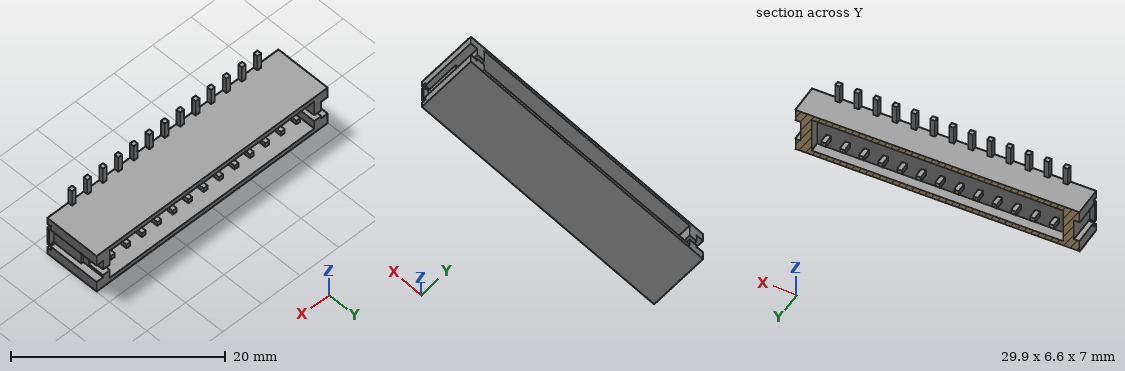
import cadquery as cq

housing_length = 29.95
housing_depth = 6.6
housing_height = 5.0
overall_height = 7.0

cavity_depth = 4.35
cavity_long_wall = 0.6
cavity_end_wall = 1.75

channel_depth = 0.85
channel_bottom = 1.35
channel_top = housing_height - channel_bottom
tab_thickness = 0.27
tab_length = 3.95
foot_clearance_reach = 1.38
foot_clearance_depth = 0.45
foot_clearance_margin = 0.5

slot_depth = 1.92
slot_bottom = 1.65
slot_height = 0.8

pin_count = 13
pin_row_span = 24.02
pin_size = 0.5
pin_bottom = slot_bottom
pin_tip_setback = 0.87

pin_pitch = pin_row_span / (pin_count - 1)
half_length = housing_length / 2


def block(x_range, y_range, z_range):
    """Box spanning the given (low, high) range on each axis."""
    lows, highs = zip(x_range, y_range, z_range)
    sizes = [high - low for low, high in zip(lows, highs)]
    return cq.Workplane("XY").box(*sizes, centered=False).translate(lows)


def on_both_ends(left_shape):
    """The shape at the -X end together with its mirror image at the +X end."""
    return left_shape.union(left_shape.mirror("YZ"))


def end_range(start, stop):
    """X range between two distances inward from the -X end face."""
    return (start - half_length, stop - half_length)


def make_cavity():
    half_cavity = half_length - cavity_end_wall
    return block(
        (-half_cavity, half_cavity),
        (housing_depth - cavity_depth, housing_depth),
        (cavity_long_wall, housing_height - cavity_long_wall),
    )


def make_end_recess():
    channel = block(
        end_range(0, channel_depth),
        (0, housing_depth),
        (channel_bottom, channel_top),
    )
    foot_clearance = block(
        end_range(0, foot_clearance_reach),
        (0, foot_clearance_depth),
        (channel_bottom - foot_clearance_margin, channel_top + foot_clearance_margin),
    )
    slot = block(
        end_range(0, cavity_end_wall),
        (housing_depth - slot_depth, housing_depth),
        (slot_bottom, slot_bottom + slot_height),
    )
    return channel.union(foot_clearance).union(slot)


def make_solder_tab():
    tab_height = (channel_bottom, channel_top)
    leg = block(end_range(channel_depth - tab_thickness, channel_depth), (0, tab_length), tab_height)
    foot = block(end_range(0, channel_depth), (0, tab_thickness), tab_height)
    return leg.union(foot)


def make_pin(center_x):
    pin_width = (center_x - pin_size / 2, center_x + pin_size / 2)
    contact = block(
        pin_width,
        (0, housing_depth - pin_tip_setback),
        (pin_bottom, pin_bottom + pin_size),
    )
    lead = block(pin_width, (0, pin_size), (pin_bottom, overall_height))
    return contact.union(lead)


housing = block((-half_length, half_length), (0, housing_depth), (0, housing_height))
housing = housing.cut(make_cavity())
housing = housing.cut(on_both_ends(make_end_recess()))

result = housing.union(on_both_ends(make_solder_tab()))
for index in range(pin_count):
    result = result.union(make_pin(index * pin_pitch - pin_row_span / 2))